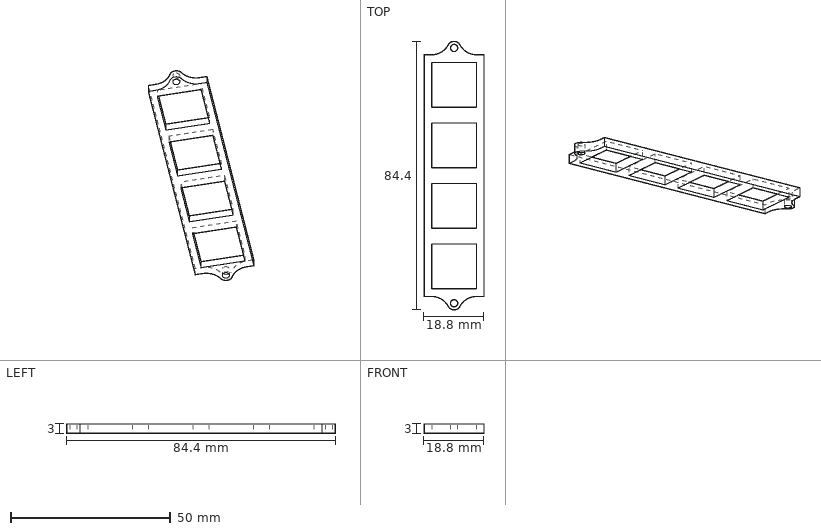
import cadquery as cq
import math

thickness = 3.0
frame_width = 18.8
window_count = 4
window_pitch = 19.0
window_size = 14.0
frame_length = window_count * window_pitch
end_rail_width = (window_pitch - window_size) / 2

ear_hole_diameter = 2.2
ear_hole_offset = 2.1
ear_tip_radius = 2.1
ear_half_width = 7.0

flank_radius = (ear_half_width**2 + ear_hole_offset**2 - ear_tip_radius**2) / (
    2 * (ear_hole_offset + ear_tip_radius)
)


def make_frame():
    """Rectangular bar with evenly spaced square through windows."""
    bar = cq.Workplane("XY").rect(frame_width, frame_length).extrude(thickness)
    windows = (
        cq.Workplane("XY")
        .rarray(1, window_pitch, 1, window_count)
        .rect(window_size, window_size)
        .extrude(thickness)
    )
    return bar.cut(windows)


def make_ear():
    """Ear on the +Y end: concave flanks blending into a round tip, with a hole."""
    frame_end = frame_length / 2
    hole_y = frame_end + ear_hole_offset
    flank_center_y = frame_end + flank_radius
    root_y = frame_end - end_rail_width / 2

    center_line_angle = math.atan2(flank_center_y - hole_y, ear_half_width)
    touch_x = ear_tip_radius * math.cos(center_line_angle)
    touch_y = hole_y + ear_tip_radius * math.sin(center_line_angle)

    flank_mid_angle = (math.pi / 2 + center_line_angle) / 2
    flank_mid_x = ear_half_width - flank_radius * math.cos(flank_mid_angle)
    flank_mid_y = flank_center_y - flank_radius * math.sin(flank_mid_angle)

    outline = (
        cq.Workplane("XY")
        .moveTo(-ear_half_width, root_y)
        .lineTo(ear_half_width, root_y)
        .lineTo(ear_half_width, frame_end)
        .threePointArc((flank_mid_x, flank_mid_y), (touch_x, touch_y))
        .threePointArc((0, hole_y + ear_tip_radius), (-touch_x, touch_y))
        .threePointArc((-flank_mid_x, flank_mid_y), (-ear_half_width, frame_end))
        .close()
    )
    hole = cq.Workplane("XY").center(0, hole_y).circle(ear_hole_diameter / 2).extrude(thickness)
    return outline.extrude(thickness).cut(hole)


ear = make_ear()
result = make_frame().union(ear).union(ear.mirror("XZ"))